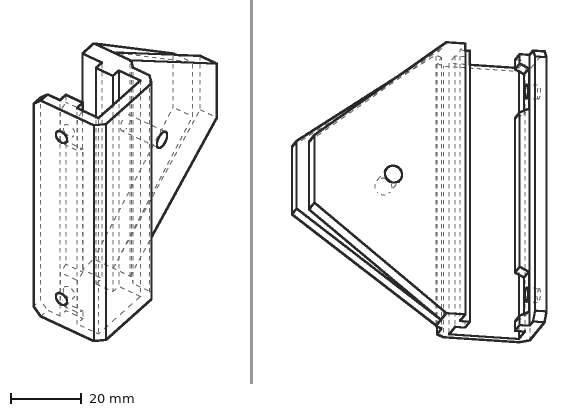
import cadquery as cq

HEIGHT = 80.0
WIDTH = 23.5
DEPTH = 71.0

FRONT_WALL = 3.4
SIDE_WALL = 3.3
REAR_INNER_Y = 23.6
REAR_THIN_Y = 27.0
REAR_THICK_Y = 29.1
OUTER_CHAMFER = 2.5
STEP_START_X = 13.1
FRONT_CORNER_CHAMFER = 2.5

RAIL_START_X = 6.8
RAIL_WIDTH = 5.9
RAIL_HEIGHT = 2.9
RAIL_END_X = RAIL_START_X + RAIL_WIDTH
RAIL_CENTRE_X = RAIL_START_X + RAIL_WIDTH / 2

SCREW_DIAMETER = 4.0
SCREW_END_DISTANCE = 10.0
SCREW_HEIGHTS = (SCREW_END_DISTANCE, HEIGHT - SCREW_END_DISTANCE)
NOTCH_FLOOR_HALF = 5.9
NOTCH_MOUTH_HALF = 7.2
NOTCH_FLOOR_Y = 3.6

PLATE_TIP_HEIGHT = 20.0
SHORT_PLATE_END_Y = 67.4
PLATE_HOLE_DIAMETER = 5.0
PLATE_HOLE_Y = 44.5


def make_channel():
    """C-shaped channel with rails, extruded along Z."""
    inner_x = WIDTH - SIDE_WALL
    front_rail_y = FRONT_WALL + RAIL_HEIGHT
    rear_rail_y = REAR_INNER_Y - RAIL_HEIGHT
    step_end_x = STEP_START_X + REAR_THICK_Y - REAR_THIN_Y
    outline = [
        (0, 0),
        (WIDTH - OUTER_CHAMFER, 0),
        (WIDTH, OUTER_CHAMFER),
        (WIDTH, REAR_THIN_Y - OUTER_CHAMFER),
        (WIDTH - OUTER_CHAMFER, REAR_THIN_Y),
        (step_end_x, REAR_THIN_Y),
        (STEP_START_X, REAR_THICK_Y),
        (0, REAR_THICK_Y),
        (0, REAR_INNER_Y),
        (RAIL_START_X, REAR_INNER_Y),
        (RAIL_START_X, rear_rail_y),
        (RAIL_END_X, rear_rail_y),
        (RAIL_END_X, REAR_INNER_Y),
        (inner_x, REAR_INNER_Y),
        (inner_x, FRONT_WALL),
        (RAIL_END_X, FRONT_WALL),
        (RAIL_END_X, front_rail_y),
        (RAIL_START_X, front_rail_y),
        (RAIL_START_X, FRONT_WALL),
        (0, FRONT_WALL),
    ]
    return cq.Workplane("XY").polyline(outline).close().extrude(HEIGHT)


def make_plate(start_x, end_x, end_y):
    """Plate tapering from the full height to a blunt tip at end_y."""
    tip_bottom = (HEIGHT - PLATE_TIP_HEIGHT) / 2
    outline = [
        (REAR_INNER_Y, 0),
        (REAR_THICK_Y, 0),
        (end_y, tip_bottom),
        (end_y, HEIGHT - tip_bottom),
        (REAR_THICK_Y, HEIGHT),
        (REAR_INNER_Y, HEIGHT),
    ]
    sketch = cq.Workplane("YZ").workplane(offset=start_x).polyline(outline).close()
    return sketch.extrude(end_x - start_x)


def make_notch(centre_z):
    """Cutter with sloping ends that interrupts the front rail."""
    mouth_y = FRONT_WALL + RAIL_HEIGHT
    outline = [
        (NOTCH_FLOOR_Y, centre_z - NOTCH_FLOOR_HALF),
        (mouth_y, centre_z - NOTCH_MOUTH_HALF),
        (mouth_y, centre_z + NOTCH_MOUTH_HALF),
        (NOTCH_FLOOR_Y, centre_z + NOTCH_FLOOR_HALF),
    ]
    sketch = cq.Workplane("YZ").workplane(offset=RAIL_START_X).polyline(outline).close()
    return sketch.extrude(RAIL_WIDTH)


def make_screw_hole(centre_z):
    """Cylinder along Y through the front wall and the notch floor."""
    hole = cq.Workplane("XZ").center(RAIL_CENTRE_X, centre_z).circle(SCREW_DIAMETER / 2)
    return hole.extrude(-(FRONT_WALL + RAIL_HEIGHT))


body = make_channel()

front_corners = cq.selectors.BoxSelector((-0.8, -0.8, -0.8), (0.8, FRONT_WALL + 0.8, HEIGHT + 0.8))
body = body.edges("|Y").edges(front_corners).chamfer(FRONT_CORNER_CHAMFER)

body = body.union(make_plate(0, RAIL_START_X, SHORT_PLATE_END_Y))
body = body.union(make_plate(RAIL_START_X, RAIL_END_X, DEPTH))

for screw_z in SCREW_HEIGHTS:
    body = body.cut(make_notch(screw_z))
    body = body.cut(make_screw_hole(screw_z))

plate_hole = (
    cq.Workplane("YZ")
    .center(PLATE_HOLE_Y, HEIGHT / 2)
    .circle(PLATE_HOLE_DIAMETER / 2)
    .extrude(RAIL_END_X)
)
result = body.cut(plate_hole)